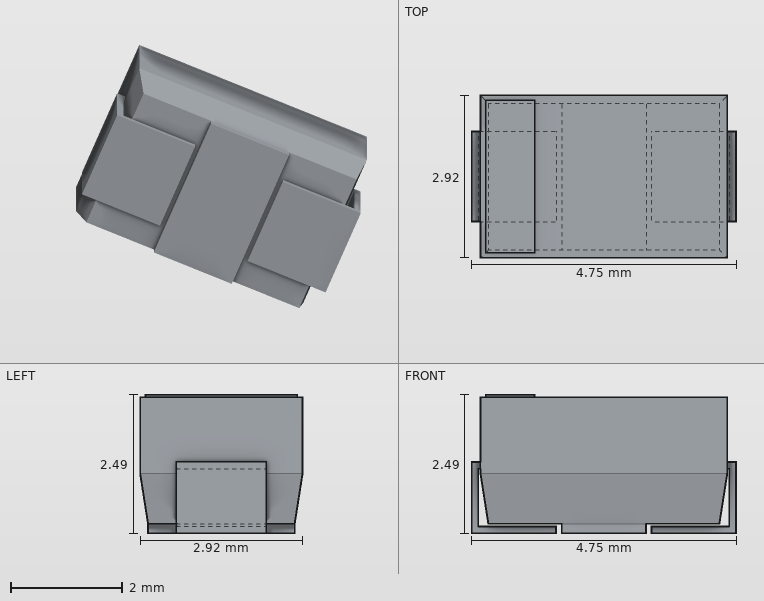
import cadquery as cq

overall_length = 4.75
case_length = 4.435
case_width = 2.92
case_taper = 0.142
case_bottom = 0.17
waist_height = 1.08
case_top = 2.445
bottom_length = case_length - 2 * case_taper
bottom_width = case_width - 2 * case_taper
standoff_length = 1.52

lead_width = 1.62
lead_thickness = 0.125
lead_height = 1.282
foot_length = 1.52

band_length = 0.88
band_margin = 0.095
band_thickness = 0.045
band_width = case_width - 2 * band_margin


def make_case():
    upper = (
        cq.Workplane("XY", origin=(0, 0, waist_height))
        .rect(case_length, case_width)
        .extrude(case_top - waist_height)
    )
    lower = (
        cq.Workplane("XY", origin=(0, 0, case_bottom))
        .rect(bottom_length, bottom_width)
        .workplane(offset=waist_height - case_bottom)
        .rect(case_length, case_width)
        .loft(ruled=True)
    )
    standoff = cq.Workplane("XY").rect(standoff_length, bottom_width).extrude(case_bottom)
    return upper.union(lower).union(standoff)


def make_lead(side):
    """Folded strip: foot, upright and a short top tab meeting the case end; side is -1 or 1."""
    outer = overall_length / 2
    inner = outer - lead_thickness
    foot_end = outer - foot_length
    tab_end = case_length / 2
    profile = [
        (foot_end, 0),
        (outer, 0),
        (outer, lead_height),
        (tab_end, lead_height),
        (tab_end, lead_height - lead_thickness),
        (inner, lead_height - lead_thickness),
        (inner, lead_thickness),
        (foot_end, lead_thickness),
    ]
    return (
        cq.Workplane("XZ")
        .polyline([(side * x, z) for x, z in profile])
        .close()
        .extrude(lead_width / 2, both=True)
    )


def make_band():
    center_x = -case_length / 2 + band_margin + band_length / 2
    return (
        cq.Workplane("XY", origin=(center_x, 0, case_top))
        .rect(band_length, band_width)
        .extrude(band_thickness)
    )


case = make_case()
leads = [make_lead(side) for side in (-1, 1)]
band = make_band()

result = cq.Compound.makeCompound([case.val(), *[lead.val() for lead in leads], band.val()])